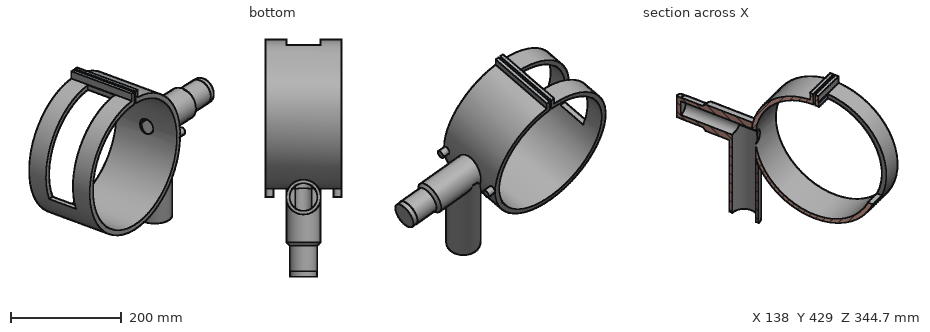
import cadquery as cq
import math

ring_width = 138.0
ring_inner_radius = 125.0
ring_wall = 10.0
ring_outer_radius = ring_inner_radius + ring_wall

split_gap = 4.0
lug_thickness = 7.0
lug_height = 15.0
lug_outer_y = split_gap / 2 + lug_thickness
lug_top_z = math.sqrt(ring_outer_radius**2 - lug_outer_y**2) + lug_height

window_width = 61.0
window_top_y = -10.0
window_bottom_z = -50.0

pin_diameter = 15.0
pin_end_y = 150.0
pin_x = (ring_width - pin_diameter) / 2

drain_y = 150.0
drain_diameter = 63.0
drain_bore_diameter = 50.0
drain_length = 195.0

branch_radius = 31.0
spigot_radius = 25.0
tip_radius = 24.5
shoulder_chamfer = branch_radius - spigot_radius
branch_end_y = 238.0
tip_start_y = 284.0
tip_end_y = 294.0

port_diameter = 30.0
port_end_y = tip_start_y


def cylinder_along_y(radius, start_y, end_y, x=0.0):
    base = cq.Workplane("XZ", origin=(x, start_y, 0))
    return base.circle(radius).extrude(start_y - end_y)


def cylinder_down(radius, top_z, length):
    base = cq.Workplane("XY", origin=(0, drain_y, top_z))
    return base.circle(radius).extrude(-length)


def box_between(x_size, y_min, y_max, z_min, z_max):
    corner = (-x_size / 2, y_min, z_min)
    block = cq.Workplane("XY").box(x_size, y_max - y_min, z_max - z_min, centered=False)
    return block.translate(corner)


def ring_cylinder(radius):
    return cq.Workplane("YZ").circle(radius).extrude(ring_width / 2, both=True)


def fluid_passage():
    port = cylinder_along_y(port_diameter / 2, 0, port_end_y)
    drain_bore = cylinder_down(drain_bore_diameter / 2, 0, drain_length)
    return port.union(drain_bore)


def make_clamp():
    lugs = box_between(ring_width, -lug_outer_y, lug_outer_y, ring_inner_radius, lug_top_z)
    clamp = ring_cylinder(ring_outer_radius).union(lugs)
    for x in (-pin_x, pin_x):
        clamp = clamp.union(cylinder_along_y(pin_diameter / 2, ring_inner_radius, pin_end_y, x))
    clamp = clamp.cut(ring_cylinder(ring_inner_radius))

    split = box_between(ring_width, -split_gap / 2, split_gap / 2, 0, lug_top_z)
    window = box_between(window_width, -ring_outer_radius, window_top_y, window_bottom_z, ring_outer_radius)
    return clamp.cut(split).cut(window).cut(fluid_passage())


def make_pipe_tee():
    half_profile = (
        cq.Workplane("XY")
        .lineTo(branch_radius, 0)
        .lineTo(branch_radius, branch_end_y - shoulder_chamfer)
        .lineTo(spigot_radius, branch_end_y)
        .lineTo(spigot_radius, tip_start_y)
        .lineTo(tip_radius, tip_start_y)
        .lineTo(tip_radius, tip_end_y)
        .lineTo(0, tip_end_y)
        .close()
    )
    branch = half_profile.revolve(360, (0, 0, 0), (0, 1, 0))
    drain = cylinder_down(drain_diameter / 2, 0, drain_length)
    return branch.union(drain).cut(ring_cylinder(ring_outer_radius)).cut(fluid_passage())


clamp = make_clamp()
pipe_tee = make_pipe_tee()

result = cq.Compound.makeCompound([*clamp.solids().vals(), *pipe_tee.solids().vals()])